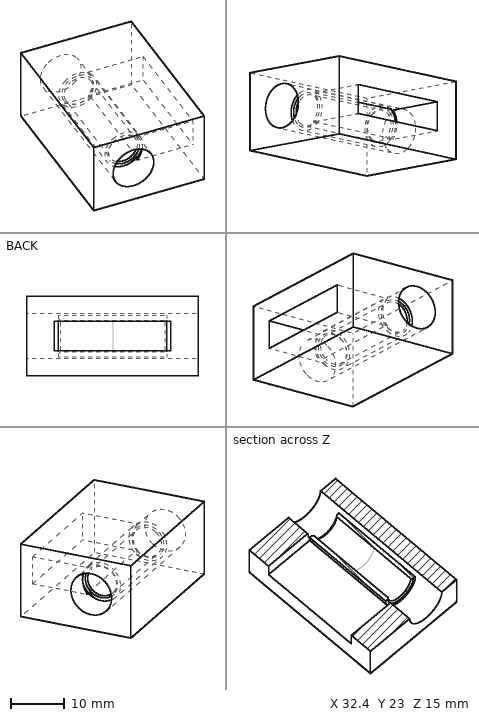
import cadquery as cq

LENGTH = 32.4
DEPTH = 23.0
HEIGHT = 15.0

PASSAGE_DIAMETER = 8.5
PASSAGE_Y = -3.25

TUBE_DIAMETER = 7.9
TUBE_BORE = 6.0
TUBE_Y = -2.5
TUBE_CHAMFER = 0.32
TUBE_END_INSET = 6.0
TUBE_LENGTH = LENGTH - 2 * TUBE_END_INSET

SLOT_WIDTH = 5.57
SLOT_END_INSET = 5.2
SLOT_LENGTH = LENGTH - 2 * SLOT_END_INSET
SLOT_DEPTH = DEPTH / 2 - TUBE_Y


def rod(diameter, length, y):
    """Cylinder parallel to X at the given Y, centred lengthwise on the origin."""
    return cq.Workplane("YZ").center(y, 0).circle(diameter / 2).extrude(length / 2, both=True)


def make_slot():
    """Slot volume, from the tube axis out to the +Y face."""
    slot = cq.Workplane("XY").box(SLOT_LENGTH, SLOT_DEPTH, SLOT_WIDTH, centered=(True, False, True))
    return slot.translate((0, TUBE_Y, 0))


def make_housing():
    """Block with the wire passage, the slot and a seat for the tube."""
    block = cq.Workplane("XY").box(LENGTH, DEPTH, HEIGHT)
    passage = rod(PASSAGE_DIAMETER, LENGTH, PASSAGE_Y)
    tube_seat = rod(TUBE_DIAMETER, TUBE_LENGTH, TUBE_Y)
    return block.cut(passage).cut(make_slot()).cut(tube_seat)


def make_tube():
    """Plain tube with both bore mouths chamfered."""
    bore = rod(TUBE_BORE, TUBE_LENGTH, TUBE_Y)
    tube = rod(TUBE_DIAMETER, TUBE_LENGTH, TUBE_Y).cut(bore)
    bore_rims = tube.faces("<X or >X").edges(cq.selectors.RadiusNthSelector(0))
    return bore_rims.chamfer(TUBE_CHAMFER)


housing = make_housing()
tube = make_tube()

result = cq.Compound.makeCompound([housing.val(), tube.val()])